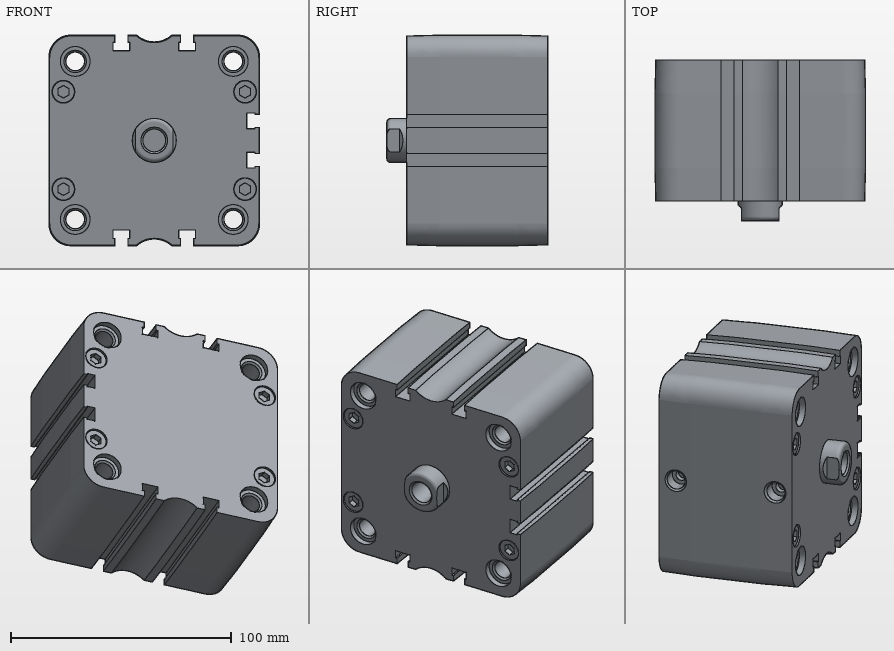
import cadquery as cq
import math


side = 95.5
half_side = side / 2
corner_radius = 10.0
barrel_length = 34.0
cap_length = 15.0
cap_draft = 1.5
body_length = barrel_length + 2 * cap_length
half_body = body_length / 2

slot_neck_width = 5.8
horizontal_slot_offset = 14.9
horizontal_slot_width = 7.5
horizontal_slot_depth = 7.1
horizontal_neck_depth = 3.3
side_slot_offset = 8.9
side_slot_width = 7.1
side_slot_depth = 5.8
side_neck_depth = 2.2
groove_radius = 12.0
groove_depth = 3.1

mount_offset = 35.8
mount_bore = 8.4
mount_mouth = 10.1
mount_counterbore = 13.5
mount_counterbore_depth = 3.0

screw_x = 41.2
screw_z = 22.1
screw_bore = 10.3
screw_head = 9.9
screw_bore_depth = 6.5
screw_recess = 0.8
hex_across_flats = 5.0
hex_depth = 3.0

port_from_end = 8.0
port_mouth = 10.3
port_bore = 8.6
port_depth = 8.0
port_channel = 5.0
port_channel_depth = 11.5

rod_diameter = 20.0
rod_length = 9.0
rod_edge_radius = 1.8
rod_across_flats = 17.0
flat_length = 5.8
rod_mouth = 12.0
rod_bore = 10.3
rod_bore_depth = 19.1


def cylinder_y(x, z, y, diameter, length):
    """Cylinder running from y toward +Y."""
    return cq.Workplane(cq.Solid.makeCylinder(diameter / 2, length, cq.Vector(x, y, z), cq.Vector(0, 1, 0)))


def chamfered_bore(start, direction, mouth, bore, depth):
    """Blind bore with a 45 degree chamfer from the mouth diameter to the bore diameter."""
    chamfer = (mouth - bore) / 2
    hole = cq.Solid.makeCylinder(bore / 2, depth, start, direction)
    cone = cq.Solid.makeCone(mouth / 2, bore / 2, chamfer, start, direction)
    return cq.Workplane(hole).union(cq.Workplane(cone))


def square_prism(y, length, draft=0):
    """Rounded square extruded from y; a negative length runs toward -Y."""
    sketch = cq.Sketch().rect(side, side).vertices().fillet(corner_radius)
    plane = cq.Plane(origin=(0, y, 0), xDir=(1, 0, 0), normal=(0, math.copysign(1, length), 0))
    return cq.Workplane(plane).placeSketch(sketch).extrude(abs(length), taper=draft)


def make_body():
    half_barrel = barrel_length / 2
    body = square_prism(-half_barrel, barrel_length)
    for direction in (-1, 1):
        body = body.union(square_prism(direction * half_barrel, direction * cap_length, cap_draft))
    return body


def t_slot(offset, width, depth, neck_depth):
    """T-slot along the whole body, open toward +Z."""
    neck = cq.Workplane().box(slot_neck_width, body_length, depth).translate((offset, 0, half_side - depth / 2))
    wide_height = depth - neck_depth
    wide_z = half_side - depth + wide_height / 2
    wide = cq.Workplane().box(width, body_length, wide_height).translate((offset, 0, wide_z))
    return neck.union(wide)


def make_groove():
    """Round groove on the +Z side that sinks with the draft along both caps."""
    groove_z = half_side - groove_depth + groove_radius
    half_barrel = barrel_length / 2
    sink = cap_length * math.tan(math.radians(cap_draft))
    groove = cylinder_y(0, groove_z, -half_barrel, 2 * groove_radius, barrel_length)
    for direction in (-1, 1):
        joint = cq.Vector(0, direction * half_barrel, groove_z)
        circle = cq.Wire.makeCircle(groove_radius, joint, cq.Vector(0, 1, 0))
        cap_groove = cq.Solid.extrudeLinear(circle, [], cq.Vector(0, direction * cap_length, -sink))
        groove = groove.union(cq.Workplane(cap_groove))
    return groove


def cut_slots(body):
    groove = make_groove()
    body = body.cut(groove).cut(groove.mirror("XY"))
    for sign in (-1, 1):
        slot = t_slot(
            sign * horizontal_slot_offset, horizontal_slot_width, horizontal_slot_depth, horizontal_neck_depth
        )
        body = body.cut(slot).cut(slot.mirror("XY"))
        side_slot = t_slot(sign * side_slot_offset, side_slot_width, side_slot_depth, side_neck_depth)
        body = body.cut(side_slot.rotate((0, 0, 0), (0, 1, 0), 90))
    return body


def mount_hole(x, z):
    """Through hole with a chamfered counterbore in both end faces."""
    hole = cylinder_y(x, z, -half_body, mount_bore, body_length)
    counterbore = cylinder_y(x, z, -half_body, mount_counterbore, mount_counterbore_depth)
    floor = cq.Vector(x, mount_counterbore_depth - half_body, z)
    mouth = chamfered_bore(floor, cq.Vector(0, 1, 0), mount_mouth, mount_bore, cap_length)
    end = counterbore.union(mouth)
    return hole.union(end).union(end.mirror("XZ"))


def screw_recess_cut(x, z):
    """Space around and inside a sunk socket-head screw in the front face."""
    bore = cylinder_y(x, z, -half_body, screw_bore, screw_bore_depth)
    head_top = screw_recess - half_body
    head = cylinder_y(x, z, head_top, screw_head, screw_bore_depth - screw_recess)
    hex_corners = hex_across_flats / math.cos(math.pi / 6)
    socket = (
        cq.Workplane(cq.Plane(origin=(x, head_top, z), xDir=(0, 0, 1), normal=(0, 1, 0)))
        .polygon(6, hex_corners)
        .extrude(hex_depth)
    )
    return bore.cut(head.cut(socket))


def cut_end_faces(body):
    for sign_x in (-1, 1):
        for sign_z in (-1, 1):
            body = body.cut(mount_hole(sign_x * mount_offset, sign_z * mount_offset))
            recess = screw_recess_cut(sign_x * screw_x, sign_z * screw_z)
            body = body.cut(recess).cut(recess.mirror("XZ"))
    return body


def cut_ports(body):
    inward = cq.Vector(1, 0, 0)
    wall_inset = (cap_length - port_from_end) * math.tan(math.radians(cap_draft))
    cone_mouth = port_mouth + 2 * wall_inset
    for sign in (-1, 1):
        start = cq.Vector(-half_side, sign * (half_body - port_from_end), 0)
        port = chamfered_bore(start, inward, cone_mouth, port_bore, port_depth)
        channel = cq.Solid.makeCylinder(port_channel / 2, port_channel_depth, start, inward)
        body = body.cut(port).cut(cq.Workplane(channel))
    return body


def make_rod():
    """Rod end with a rounded tip and two flats that run out at 45 degrees."""
    tip = -half_body - rod_length
    rod = cylinder_y(0, 0, tip, rod_diameter, rod_length).faces("<Y").edges().fillet(rod_edge_radius)
    flat_x = rod_across_flats / 2
    outer_x = rod_diameter / 2
    runout = outer_x - flat_x
    flat = (
        cq.Workplane("XY")
        .polyline(
            [
                (flat_x, tip),
                (flat_x, tip + flat_length),
                (outer_x, tip + flat_length + runout),
                (outer_x, tip),
            ]
        )
        .close()
        .extrude(rod_diameter, both=True)
    )
    return rod.cut(flat).cut(flat.mirror("YZ"))


def cut_rod_bore(part):
    start = cq.Vector(0, -half_body - rod_length, 0)
    return part.cut(chamfered_bore(start, cq.Vector(0, 1, 0), rod_mouth, rod_bore, rod_bore_depth))


body = cut_ports(cut_end_faces(cut_slots(make_body())))
result = cut_rod_bore(body.union(make_rod()))